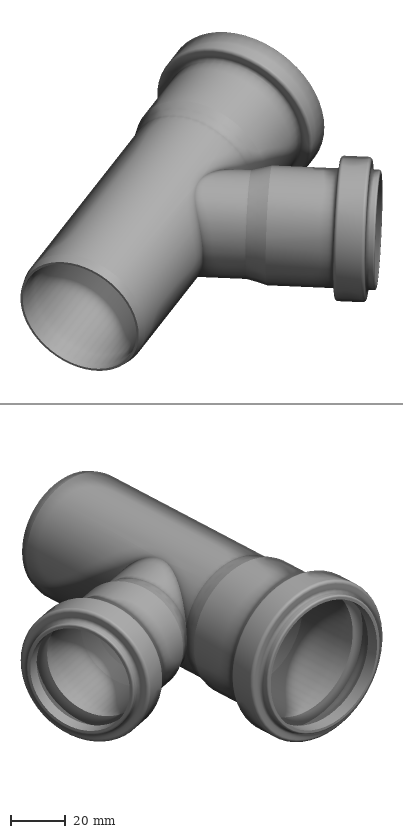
import cadquery as cq
import math

wall = 1.7
lip_depth = 3.4
lip_edge = 0.7
collar_round = 1.3
neck_round = 1.1

main_length = 142.5
main_bore = 46.6
main_pipe = 50.3
main_socket_bore = 50.7
main_socket = 54.0
main_mouth_bore = 51.2
main_lip = 54.5
main_groove = 60.3
main_collar = 63.5
main_collar_back = 15.2
main_taper_start = 41.9
main_taper_end = 49.2
spigot_taper_length = 3.5
spigot_tip = 48.5

branch_angle = 22.5
branch_y = 62.3
branch_length = 82.2
branch_bore = 36.5
branch_pipe = 40.0
branch_socket_bore = 40.8
branch_socket = 44.0
branch_mouth_bore = 41.0
branch_lip = 44.3
branch_groove = 50.3
branch_collar = 53.5
branch_collar_back = 15.0
branch_taper_start = 40.0
branch_taper_end = 47.6


def revolve_profile(points):
    """Revolve (diameter, distance along axis) points, closed on the axis, about Y."""
    outline = [(0, points[0][1])]
    outline += [(diameter / 2, along) for diameter, along in points]
    outline += [(0, points[-1][1])]
    return cq.Workplane("XY").polyline(outline).close().revolve(360, (0, 0, 0), (0, 1, 0))


def round_circle(body, diameter, along, radius):
    """Fillet the circular edge of the given diameter at a distance along Y."""
    reach = diameter / 2 + 0.01
    thin = 0.01
    box = cq.selectors.BoxSelector(
        (-reach, along - thin, -reach), (reach, along + thin, reach), boundingbox=True
    )
    edges = body.edges(box).edges(cq.selectors.RadiusNthSelector(-1))
    return body.newObject(edges.vals()).fillet(radius)


def outer_body(length, pipe, socket, lip, collar, collar_back, taper_start, taper_end):
    """Solid envelope of a pipe that widens into a socket with a seal collar."""
    back = length - collar_back
    front = length - lip_depth
    body = revolve_profile([
        (pipe, 0),
        (pipe, length - taper_end),
        (socket, length - taper_start),
        (socket, back),
        (collar, back),
        (collar, front),
        (lip, front),
        (lip, length),
    ])
    for along in (back, front):
        body = round_circle(body, collar, along, collar_round)
    body = round_circle(body, socket, back, neck_round)
    body = round_circle(body, lip, front, neck_round)
    return round_circle(body, lip, length, lip_edge)


def inner_body(length, bore, socket_bore, mouth_bore, groove, collar_back, taper_start, taper_end):
    """Hollow of a pipe: bore, taper, socket, seal groove and mouth."""
    groove_back = length - collar_back + wall
    groove_front = length - lip_depth - wall
    return revolve_profile([
        (bore, 0),
        (bore, length - taper_end),
        (socket_bore, length - taper_start),
        (socket_bore, groove_back),
        (groove, groove_back),
        (groove, groove_front),
        (mouth_bore, groove_front),
        (mouth_bore, length),
    ])


def place_branch(body):
    """Turn a body from the Y axis onto the branch axis."""
    turned = body.rotate((0, 0, 0), (0, 0, 1), branch_angle - 90)
    return turned.translate((0, branch_y, 0))


def spigot_taper_cutter():
    """Ring that tapers the outside of the plain end of the main pipe."""
    blank = cq.Workplane("XZ").circle(main_collar).extrude(-spigot_taper_length)
    tapered_end = revolve_profile([(spigot_tip, 0), (main_pipe, spigot_taper_length)])
    return blank.cut(tapered_end)


main_outer = outer_body(
    main_length, main_pipe, main_socket, main_lip, main_collar,
    main_collar_back, main_taper_start, main_taper_end,
).cut(spigot_taper_cutter())
main_inner = inner_body(
    main_length, main_bore, main_socket_bore, main_mouth_bore, main_groove,
    main_collar_back, main_taper_start, main_taper_end,
)
branch_outer = place_branch(outer_body(
    branch_length, branch_pipe, branch_socket, branch_lip, branch_collar,
    branch_collar_back, branch_taper_start, branch_taper_end,
))
branch_inner = place_branch(inner_body(
    branch_length, branch_bore, branch_socket_bore, branch_mouth_bore, branch_groove,
    branch_collar_back, branch_taper_start, branch_taper_end,
))

result = main_outer.union(branch_outer).cut(main_inner).cut(branch_inner)